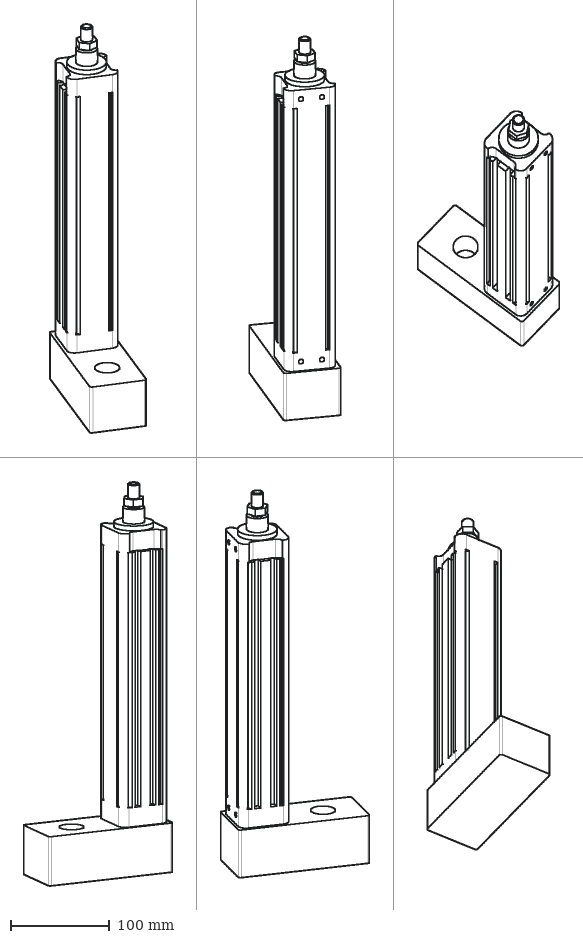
import cadquery as cq
import math

BASE_LENGTH = 140.0
BASE_WIDTH = 60.0
BASE_HEIGHT = 51.2
BASE_CORNER_RADIUS = 2.5

BORE_DIAMETER = 25.0
BORE_X = 100.0
BORE_DEPTH = 30.0

BODY_SIZE = 53.6
BODY_CORNER_RADIUS = 8.0
AXIS_X = 29.9
AXIS_Y = 30.4
BODY_HEIGHT = 304.8
CAP_HEIGHT = 20.0

RECESS_FLOOR_WIDTH = 24.0
RECESS_MOUTH_WIDTH = 35.0
RECESS_DEPTH = 5.3

SLOT_OFFSET = 8.5
SLOT_WIDTH = 6.0
SLOT_DEPTH = 7.0

GROOVE_OUTER = 19.3
GROOVE_INNER = 15.0
GROOVE_KNEE = 17.8
GROOVE_KNEE_DEPTH = 3.4
GROOVE_FLOOR_DEPTH = 3.8

DIMPLE_DIAMETER = 5.0
DIMPLE_DEPTH = 2.5
DIMPLE_OFFSET = 11.0
DIMPLE_INSET = 10.0

COLLAR_DIAMETER = 40.0
COLLAR_HEIGHT = 5.0
ROD_DIAMETER = 22.0
ROD_HEIGHT = 15.0
STUD_DIAMETER = 12.0
STUD_HEIGHT = 25.0
STUD_CHAMFER = 1.25
NUT_ACROSS_FLATS = 19.0
NUT_HEIGHT = 7.5
NUT_GAP = 2.5

HALF_BODY = BODY_SIZE / 2
BODY_TOP = BASE_HEIGHT + BODY_HEIGHT
BARREL_BOTTOM = BASE_HEIGHT + CAP_HEIGHT
BARREL_TOP = BODY_TOP - CAP_HEIGHT
BARREL_HEIGHT = BARREL_TOP - BARREL_BOTTOM
ROD_BOTTOM = BODY_TOP + COLLAR_HEIGHT
STUD_BOTTOM = ROD_BOTTOM + ROD_HEIGHT


def on_axis(z):
    """Horizontal workplane centred on the cylinder axis at height z."""
    return cq.Workplane("XY", origin=(AXIS_X, AXIS_Y, z))


def turned(shape, angle):
    """Copy of a shape turned about the cylinder axis."""
    return shape.rotate((AXIS_X, AXIS_Y, 0), (AXIS_X, AXIS_Y, 1), angle)


def make_base():
    block = cq.Workplane("XY").box(BASE_LENGTH, BASE_WIDTH, BASE_HEIGHT, centered=False)
    block = block.edges("|Z").fillet(BASE_CORNER_RADIUS)
    bore = (
        cq.Workplane("XY", origin=(BORE_X, AXIS_Y, BASE_HEIGHT))
        .circle(BORE_DIAMETER / 2)
        .extrude(-BORE_DEPTH)
    )
    return block.cut(bore)


def make_front_recess():
    """Recess in the end cap: a flat floor joined to the mouth by arcs tangent to the floor."""
    half_floor = RECESS_FLOOR_WIDTH / 2
    half_mouth = RECESS_MOUTH_WIDTH / 2
    arc_run = half_mouth - half_floor
    arc_radius = (arc_run**2 + RECESS_DEPTH**2) / (2 * RECESS_DEPTH)
    half_sweep = math.asin(arc_run / arc_radius) / 2
    floor_y = -HALF_BODY + RECESS_DEPTH
    mid_x = half_floor + arc_radius * math.sin(half_sweep)
    mid_y = floor_y - arc_radius * (1 - math.cos(half_sweep))
    return (
        on_axis(BARREL_TOP)
        .moveTo(-half_floor, floor_y)
        .lineTo(half_floor, floor_y)
        .threePointArc((mid_x, mid_y), (half_mouth, -HALF_BODY))
        .lineTo(-half_mouth, -HALF_BODY)
        .threePointArc((-mid_x, mid_y), (-half_floor, floor_y))
        .close()
        .extrude(CAP_HEIGHT)
    )


def make_front_slots():
    return (
        on_axis(BARREL_BOTTOM)
        .pushPoints([(side * SLOT_OFFSET, -HALF_BODY + SLOT_DEPTH / 2) for side in (-1, 1)])
        .rect(SLOT_WIDTH, SLOT_DEPTH)
        .extrude(BARREL_HEIGHT)
    )


def make_front_groove(side):
    """Groove beside one front corner: sloped inner wall, tilted floor, square outer wall."""
    return (
        on_axis(BARREL_BOTTOM)
        .moveTo(side * GROOVE_INNER, -HALF_BODY)
        .lineTo(side * GROOVE_KNEE, -HALF_BODY + GROOVE_KNEE_DEPTH)
        .lineTo(side * GROOVE_OUTER, -HALF_BODY + GROOVE_FLOOR_DEPTH)
        .lineTo(side * GROOVE_OUTER, -HALF_BODY)
        .close()
        .extrude(BARREL_HEIGHT)
    )


def make_dimple(y, z):
    mouth = cq.Vector(AXIS_X - HALF_BODY, y, z)
    return cq.Solid.makeCone(DIMPLE_DIAMETER / 2, 0, DIMPLE_DEPTH, pnt=mouth, dir=cq.Vector(1, 0, 0))


def make_body():
    body = on_axis(BASE_HEIGHT).rect(BODY_SIZE, BODY_SIZE).extrude(BODY_HEIGHT)
    body = body.edges("|Z").fillet(BODY_CORNER_RADIUS)
    for angle in (0, 180):
        body = body.cut(turned(make_front_recess(), angle))
        body = body.cut(turned(make_front_slots(), angle))
    for angle in (0, 90, 180, 270):
        for side in (-1, 1):
            body = body.cut(turned(make_front_groove(side), angle))
    for z in (BASE_HEIGHT + DIMPLE_INSET, BODY_TOP - DIMPLE_INSET):
        for side in (-1, 1):
            body = body.cut(cq.Workplane(make_dimple(AXIS_Y + side * DIMPLE_OFFSET, z)))
    return body


def make_rod_end():
    collar = on_axis(BODY_TOP).circle(COLLAR_DIAMETER / 2).extrude(COLLAR_HEIGHT)
    rod = on_axis(ROD_BOTTOM).circle(ROD_DIAMETER / 2).extrude(ROD_HEIGHT)
    stud = on_axis(STUD_BOTTOM).circle(STUD_DIAMETER / 2).extrude(STUD_HEIGHT)
    stud = stud.faces(">Z").chamfer(STUD_CHAMFER)
    nut_across_corners = NUT_ACROSS_FLATS / math.cos(math.pi / 6)
    nut = on_axis(STUD_BOTTOM + NUT_GAP).polygon(6, nut_across_corners).extrude(NUT_HEIGHT)
    return collar.union(rod).union(stud).union(nut)


result = make_base().union(make_body()).union(make_rod_end())